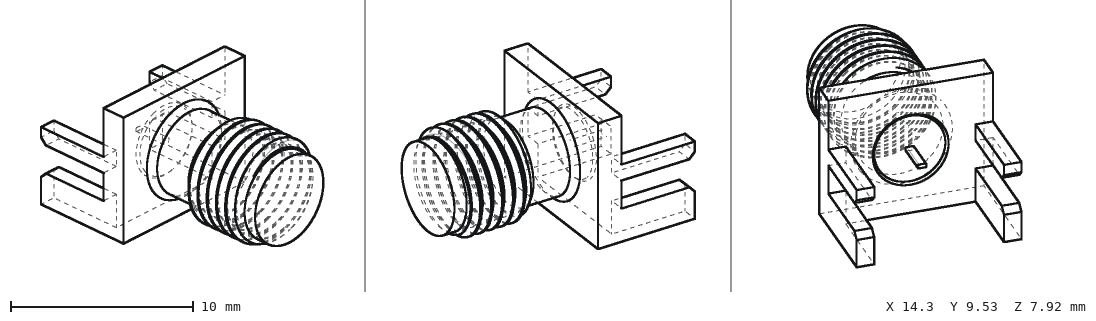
import cadquery as cq
import math

length = 14.27
flange_width = 9.53
flange_height = 7.92
flange_back = 4.75
flange_front = 6.28

leg_width = 1.01
upper_leg_bottom = -0.11
upper_leg_top = 0.9
lower_leg_top = -1.87
leg_chamfer = 0.37

pin_start = 2.85
pin_width = 0.5
pin_height = 0.24
pin_corner = 0.07
recess_mouth_diameter = 4.4
recess_depth = 0.14

flare_diameter = 5.88
neck_diameter = 5.08
nose_diameter = 5.38
thread_start = 9.05
thread_end = 13.47

crest_diameter = 6.35
root_diameter = 5.47
span_pitches = 5
crest_span = 3.52
pitch = crest_span / span_pitches
crest_on_top = 10.22
flank_angle = 30.0
root_flat = 0.1
foot_bury = 0.04
envelope_clearance = 0.29


def build_flange():
    thickness = flange_front - flange_back
    centre = (flange_back + flange_front) / 2
    return cq.Workplane("XY").box(thickness, flange_width, flange_height).translate((centre, 0, 0))


def build_leg(bottom, top, chamfered_edge):
    leg = cq.Workplane("XY").box(flange_back, leg_width, top - bottom)
    leg = leg.faces("<X").edges(chamfered_edge).chamfer(leg_chamfer)
    return leg.translate((flange_back / 2, 0, (bottom + top) / 2))


def build_pin():
    """Flat pin with rounded long edges, running into the flange."""
    pin_length = flange_front - pin_start
    pin = cq.Workplane("XY").box(pin_length, pin_width, pin_height).edges("|X").fillet(pin_corner)
    return pin.translate((pin_start + pin_length / 2, 0, 0))


def build_recess():
    """Cone that narrows by 45 degrees from the back face of the flange."""
    mouth = cq.Workplane("YZ", origin=(flange_back, 0, 0)).circle(recess_mouth_diameter / 2)
    return mouth.extrude(recess_depth, taper=45)


def build_neck_and_nose():
    neck_radius = neck_diameter / 2
    nose_radius = nose_diameter / 2
    flare_radius = flare_diameter / 2
    flare_end = flange_front + flare_radius - neck_radius
    profile = [
        (flange_front, 0),
        (flange_front, flare_radius),
        (flare_end, neck_radius),
        (thread_end, neck_radius),
        (thread_end, nose_radius),
        (length, nose_radius),
        (length, 0),
    ]
    return cq.Workplane("XY").polyline(profile).close().revolve(360, (0, 0, 0), (1, 0, 0))


def build_ridge():
    """Thread ridge swept along the helix; made along Z, then turned to run along X."""
    crest_radius = crest_diameter / 2
    foot_radius = root_diameter / 2 - foot_bury
    flank_slope = math.tan(math.radians(flank_angle))
    root_half = (pitch - root_flat) / 2
    crest_half = root_half - (crest_radius - root_diameter / 2) * flank_slope
    foot_half = root_half + foot_bury * flank_slope
    profile = [
        (foot_radius, -foot_half),
        (crest_radius, -crest_half),
        (crest_radius, crest_half),
        (foot_radius, foot_half),
    ]
    turns_back = math.ceil((crest_on_top - thread_start) / pitch) + 2
    ridge_start = crest_on_top - turns_back * pitch
    turns = math.ceil((thread_end - ridge_start) / pitch) + 1
    helix = cq.Wire.makeHelix(pitch, turns * pitch, root_diameter / 2)
    ridge = cq.Workplane("XZ").polyline(profile).close().sweep(cq.Workplane(helix), isFrenet=True)
    ridge = ridge.rotate((0, 0, 0), (1, 1, 1), 120).rotate((0, 0, 0), (1, 0, 0), 90)
    return ridge.translate((ridge_start, 0, 0))


def build_sleeve_envelope():
    """Space between 45 degree cones: down to the neck at the back and the nose at the front."""
    outer_radius = crest_diameter / 2 + envelope_clearance
    neck_radius = neck_diameter / 2
    nose_radius = nose_diameter / 2
    profile = [
        (thread_start, 0),
        (thread_start, neck_radius),
        (thread_start + outer_radius - neck_radius, outer_radius),
        (thread_end - outer_radius + nose_radius, outer_radius),
        (thread_end, nose_radius),
        (thread_end, 0),
    ]
    return cq.Workplane("XY").polyline(profile).close().revolve(360, (0, 0, 0), (1, 0, 0))


def build_threaded_sleeve():
    """Overlong threaded rod, trimmed to the sleeve envelope."""
    core = cq.Workplane("YZ", origin=(flange_front, 0, 0)).circle(root_diameter / 2).extrude(length)
    return core.union(build_ridge()).intersect(build_sleeve_envelope())


result = build_flange().cut(build_recess()).union(build_pin())
leg_offset = (flange_width - leg_width) / 2
for leg_y in (-leg_offset, leg_offset):
    upper_leg = build_leg(upper_leg_bottom, upper_leg_top, "<Z")
    lower_leg = build_leg(-flange_height / 2, lower_leg_top, ">Z")
    result = result.union(upper_leg.translate((0, leg_y, 0)))
    result = result.union(lower_leg.translate((0, leg_y, 0)))
result = result.union(build_neck_and_nose()).union(build_threaded_sleeve())